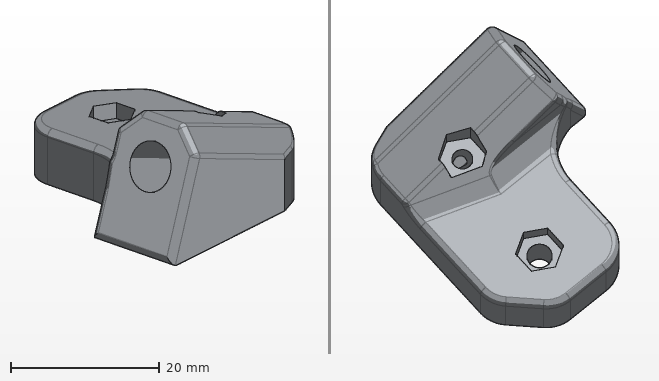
import cadquery as cq
import math

plate_depth = 20.0
plate_height = 8.0
corner_radius = 5.0
corner_chamfer = 6.55
scoop_radius = 8.0
scoop_overlap = 0.1

block_left = 21.0
block_right = 35.0
block_center = (block_left + block_right) / 2
block_half_width = (block_right - block_left) / 2
block_corner_taper = 6.02
tilt = 20.0
slope = math.tan(math.radians(tilt))
roof_back_height = 9.6
nose_reach = 30.15
roof_chamfer = 3.5

edge_radius = 0.98
seam_radius = 3.5
smooth_angle = 5.0

socket_diameter = 6.95
socket_drop = 7.0
socket_depth = 19.95

hole_y = -10.0
nut_flats = 5.7
plate_hole = (8.0, 3.4, 5.67)
block_hole = (23.98, 2.8, 10.5)

ridge_reach = (nose_reach - slope * roof_back_height) / (1 + slope**2)
ridge_height = roof_back_height + slope * ridge_reach
nose_plane = cq.Plane(
    origin=(block_center, -ridge_reach, ridge_height),
    xDir=(1, 0, 0),
    normal=(0, -math.cos(math.radians(tilt)), math.sin(math.radians(tilt))),
)


def make_outline():
    """Upright prism over the whole footprint, taller than the part."""
    scoop_center_x = block_left + scoop_overlap - scoop_radius
    scoop_center_y = -plate_depth - scoop_radius
    scoop_end_y = scoop_center_y + math.sqrt(scoop_radius**2 - (block_left - scoop_center_x) ** 2)
    diagonal = scoop_radius * math.sqrt(0.5)
    prism = (
        cq.Workplane("XY")
        .moveTo(0, -plate_depth)
        .lineTo(scoop_center_x, -plate_depth)
        .threePointArc(
            (scoop_center_x + diagonal, scoop_center_y + diagonal),
            (block_left, scoop_end_y),
        )
        .lineTo(block_left, -nose_reach)
        .lineTo(block_right, -nose_reach)
        .lineTo(block_right, -block_corner_taper)
        .lineTo(block_right - slope * block_corner_taper, 0)
        .lineTo(corner_chamfer, 0)
        .lineTo(0, -corner_chamfer)
        .close()
        .extrude(2 * ridge_height)
    )
    round_corners = prism.edges("|Z").edges("<X or >Y")
    return round_corners.fillet(corner_radius)


def make_wedge(left):
    """Wedge under the tilted roof, from the given X to the right wall."""
    return (
        cq.Workplane("YZ", origin=(left, 0, 0))
        .polyline([(0, 0), (-nose_reach, 0), (-ridge_reach, ridge_height), (0, roof_back_height)])
        .close()
        .extrude(block_right - left)
    )


def make_bevel(side):
    """Material above the 45 degree roof bevel on one side (-1 left, 1 right)."""
    inner = block_half_width - roof_chamfer
    outer = inner + block_right
    return (
        cq.Workplane(nose_plane)
        .polyline([(side * inner, 0), (side * outer, 0), (side * outer, inner - outer)])
        .close()
        .extrude(-2 * nose_reach)
    )


def blend_seam(solid, near_point):
    """Fillet the inside edge where the solid rises out of the plate."""
    return solid.edges(cq.selectors.NearestToPointSelector(near_point)).fillet(seam_radius)


def make_body():
    """Plate and block with the blended seam, before the outer edges are rounded."""
    slab = cq.Workplane("XY").box(block_right, nose_reach, plate_height, centered=False)
    slab = slab.translate((0, -nose_reach, 0))
    wall_body = slab.union(make_wedge(block_left))
    wall_body = blend_seam(wall_body, (block_left, -nose_reach / 2, plate_height))
    bevel_body = slab.union(make_wedge(0).cut(make_bevel(-1)))
    seam_mid_reach = (nose_reach - slope * plate_height) / 2
    roof_above_plate = roof_back_height + slope * seam_mid_reach - plate_height
    seam_mid_x = block_left + roof_chamfer - roof_above_plate * math.cos(math.radians(tilt))
    bevel_body = blend_seam(bevel_body, (seam_mid_x, -seam_mid_reach, plate_height))
    beyond_nose = cq.Workplane(nose_plane).rect(4 * nose_reach, 4 * nose_reach).extrude(nose_reach)
    body = wall_body.intersect(bevel_body).cut(make_bevel(1)).intersect(make_outline())
    return body.cut(beyond_nose)


def is_sharp(edge, faces):
    """True where the two faces beside an edge meet at a visible angle."""
    middle = edge.positionAt(0.5)
    normals = [
        face.normalAt(middle)
        for face in faces
        if any(edge.isSame(other) for other in face.Edges())
    ]
    return normals[0].dot(normals[1]) < math.cos(math.radians(smooth_angle))


def round_outer_edges(body):
    """Round every sharp edge except the upright ones and the plain bottom outline."""
    faces = body.faces().vals()
    upper = body.edges("not(|Z or <Z)").filter(lambda edge: is_sharp(edge, faces))
    nose_bottom = body.edges("<Y and <Z")
    return upper.add(nose_bottom).fillet(edge_radius)


def cut_screw_hole(body, center_x, diameter, pocket_floor):
    """Through hole with a hexagonal nut pocket open to the top."""
    hole = cq.Workplane("XY").center(center_x, hole_y).circle(diameter / 2).extrude(ridge_height)
    nut_corners = nut_flats / math.cos(math.pi / 6)
    pocket = (
        cq.Workplane("XY", origin=(center_x, hole_y, pocket_floor))
        .polygon(6, nut_corners)
        .extrude(ridge_height)
    )
    return body.cut(hole).cut(pocket)


def cut_rod_socket(body):
    """Blind round socket square to the tilted nose face."""
    socket = (
        cq.Workplane(nose_plane)
        .center(0, -socket_drop)
        .circle(socket_diameter / 2)
        .extrude(-socket_depth)
    )
    return body.cut(socket)


result = round_outer_edges(make_body())
result = cut_rod_socket(result)
for screw_hole in (plate_hole, block_hole):
    result = cut_screw_hole(result, *screw_hole)